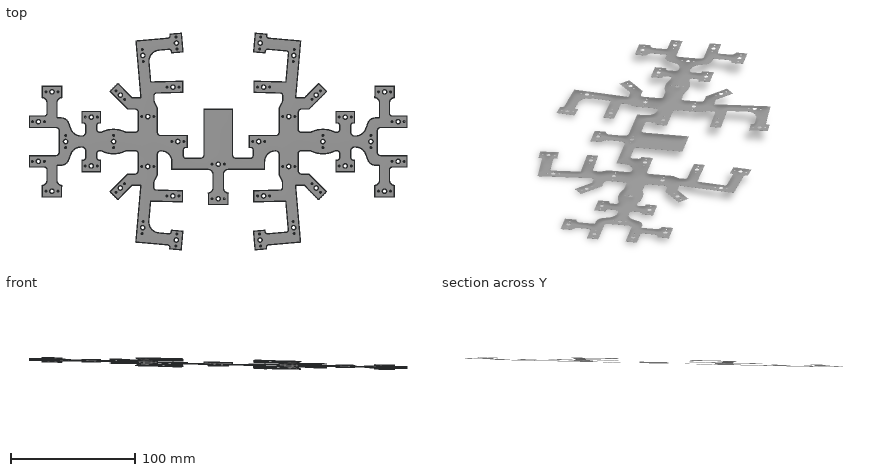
import cadquery as cq
import math

thickness = 0.12
pitch_angle = 2.2
roll_angle = 1.25
half_length = 152.0

screw_diameter = 3.3
pin_diameter = 1.2
pin_spacing = 5.0

limb_width = 9.5
foot_length = 15.2
foot_width = 9.5
body_half_width = 7.5
trunk_inner_x = 49.0
trunk_outer_x = 64.5
trunk_shoulder_y = 27.0
bulge_x = 84.3
bulge_radius = 21.3
bulge_apex_y = 12.2
bulge_half_chord = 9.7
trunk_hole_x = (trunk_inner_x + trunk_outer_x) / 2
trunk_hole_y = 20.0

fork_root_x = 128.0
fork_half_gap = 11.3
fork_outer_y = fork_half_gap + limb_width
fork_neck_x = 134.0
fork_neck_width = 8.2
fork_foot_length = 15.8
fork_foot_y = 44.7
fork_foot_inner_y = fork_foot_y - foot_width
fork_hole_inset = 7.3
fork_middle_hole_x = 123.0

waist_top_x = 122.0
waist_top_y = 19.2
waist_top_radius = 6.7
waist_bottom_x = 116.5
waist_half_width = 4.5
waist_bottom_radius = 8.5

side_foot_x = 102.2
side_foot_y = 24.3
side_foot_inner_y = side_foot_y - foot_width
side_neck_width = 9.0

diagonal_low_y = 26.2
diagonal_high_y = 35.3
diagonal_length = 20.0
diagonal_low_x = 73.0
diagonal_step = diagonal_length * math.sqrt(0.5)
diagonal_width = 9.0
diagonal_width_step = diagonal_width * math.sqrt(0.5)
diagonal_high_x = 69.5
diagonal_hole_x = 78.8
diagonal_hole_y = 37.5

hand_end_x = 28.5
hand_low_y = 39.0
hand_high_y = 48.0
hand_rise = 0.5
hand_root_x = 54.8
hand_hole_x = 36.5
hand_hole_y = 43.8
shoulder_x = 51.7
shoulder_y = 32.3

leg_lean = 5.0
hip_x = 62.5
hip_y = diagonal_high_y
leg_width = 9.0
leg_height = 46.0
leg_foot_reach = 37.0
leg_foot_overhang = 3.0
leg_hole_height = 33.8
sharp_knee_radius = 1.5
wide_knee_radius = 8.8

link_arm_end_x = 25.0
link_arm_half_width = 5.0
link_neck_x = 28.0
link_outer_x = 37.5
link_high_y = -13.5
link_low_y = -22.5
link_root_overlap = 3.0
link_root_half_height = 13.7
link_arm_hole_x = 32.5
link_bar_hole_y = -18.3
link_bend_radius = 8.5
tab_half_width = 11.5
tab_top_y = 26.2
stem_half_width = 4.3
stem_foot_half_length = 8.0
stem_foot_y = -50.8
stem_foot_inner_y = stem_foot_y + foot_width

small_radius = 1.8
medium_radius = 2.7
neck_radius = 4.0


def rounded_plate(corners):
    """Flat plate from (x, y) or (x, y, radius) corners; a radius rounds that corner."""
    points = []
    for i, corner in enumerate(corners):
        x, y = corner[:2]
        radius = corner[2] if len(corner) == 3 else 0
        if radius == 0:
            points.append([(x, y)])
            continue
        before = cq.Vector(*corners[i - 1][:2])
        after = cq.Vector(*corners[(i + 1) % len(corners)][:2])
        here = cq.Vector(x, y)
        to_before = (before - here).normalized()
        to_after = (after - here).normalized()
        half_angle = to_before.getAngle(to_after) / 2
        setback = radius / math.tan(half_angle)
        bisector = (to_before + to_after).normalized()
        middle = here + bisector * (radius / math.sin(half_angle) - radius)
        start = here + to_before * setback
        end = here + to_after * setback
        points.append([(p.x, p.y) for p in (start, middle, end)])
    outline = cq.Workplane("XY").moveTo(*points[0][-1])
    for stretch in points[1:] + points[:1]:
        outline = outline.lineTo(*stretch[0])
        if len(stretch) == 3:
            outline = outline.threePointArc(*stretch[1:])
    return outline.wire().extrude(thickness)


def screw_holes(x, y, direction):
    """Cutter for one hole group whose row points along direction (degrees)."""
    row = cq.Workplane("XY").circle(screw_diameter / 2)
    row = row.pushPoints([(-pin_spacing, 0), (pin_spacing, 0)]).circle(pin_diameter / 2)
    return row.extrude(thickness).rotate((0, 0, 0), (0, 0, 1), direction).translate((x, y, 0))


def leg(knee_radius):
    """Bent leg with a foot, shaped upright from the hip and then leaned outwards."""
    arm_low = leg_height - leg_width
    foot_start = -leg_foot_reach + foot_width
    foot_top = leg_height + leg_foot_overhang
    foot_bottom = foot_top - foot_length
    upright = rounded_plate([
        (0, 0),
        (0, leg_height),
        (foot_start, leg_height, small_radius),
        (foot_start, foot_top),
        (-leg_foot_reach, foot_top),
        (-leg_foot_reach, foot_bottom),
        (foot_start, foot_bottom),
        (foot_start, arm_low, small_radius),
        (-leg_width, arm_low, knee_radius),
        (-leg_width, 0),
    ])
    upright = upright.cut(screw_holes(-leg_width / 2, leg_hole_height, 90))
    upright = upright.cut(screw_holes(foot_start - foot_width / 2, (foot_top + foot_bottom) / 2, 90))
    return upright.rotate((0, 0, 0), (0, 0, 1), -leg_lean).translate((hip_x, hip_y, 0))


def quarter(knee_radius):
    """Everything outside the link in the +X +Y quarter."""
    fork_neck_out = fork_neck_x + fork_neck_width / 2
    fork_neck_in = fork_neck_x - fork_neck_width / 2
    fork_foot_out = fork_neck_x + fork_foot_length / 2
    fork_foot_in = fork_neck_x - fork_foot_length / 2
    side_neck_out = side_foot_x + side_neck_width / 2
    side_neck_in = side_foot_x - side_neck_width / 2
    side_foot_out = side_foot_x + foot_length / 2
    side_foot_in = side_foot_x - foot_length / 2
    tip_x = diagonal_low_x + diagonal_step
    tip_y = diagonal_low_y + diagonal_step
    plate = rounded_plate([
        (trunk_inner_x, 0),
        (fork_root_x, 0),
        (fork_root_x, fork_half_gap, medium_radius),
        (half_length, fork_half_gap),
        (half_length, fork_outer_y),
        (fork_neck_out, fork_outer_y, small_radius),
        (fork_neck_out, fork_foot_inner_y, neck_radius),
        (fork_foot_out, fork_foot_inner_y),
        (fork_foot_out, fork_foot_y),
        (fork_foot_in, fork_foot_y),
        (fork_foot_in, fork_foot_inner_y),
        (fork_neck_in, fork_foot_inner_y, neck_radius),
        (fork_neck_in, waist_top_y),
        (waist_top_x, waist_top_y, waist_top_radius),
        (waist_bottom_x, waist_half_width, waist_bottom_radius),
        (side_neck_out, waist_half_width, medium_radius),
        (side_neck_out, side_foot_inner_y, small_radius),
        (side_foot_out, side_foot_inner_y),
        (side_foot_out, side_foot_y),
        (side_foot_in, side_foot_y),
        (side_foot_in, side_foot_inner_y),
        (side_neck_in, side_foot_inner_y, small_radius),
        (side_neck_in, body_half_width, small_radius),
        (bulge_x + bulge_half_chord, body_half_width, small_radius),
        (bulge_x, bulge_apex_y, bulge_radius),
        (bulge_x - bulge_half_chord, body_half_width),
        (trunk_outer_x, body_half_width, small_radius),
        (trunk_outer_x, diagonal_low_y, medium_radius),
        (diagonal_low_x, diagonal_low_y),
        (tip_x, tip_y),
        (tip_x - diagonal_width_step, tip_y + diagonal_width_step),
        (diagonal_high_x, diagonal_high_y),
        (hip_x, hip_y),
        (hand_root_x, hand_high_y),
        (hand_end_x, hand_high_y + hand_rise),
        (hand_end_x, hand_low_y + hand_rise),
        (shoulder_x, hand_low_y, small_radius),
        (shoulder_x, shoulder_y, neck_radius),
        (trunk_inner_x, trunk_shoulder_y, neck_radius),
    ])
    for place in [
        (half_length - fork_hole_inset, fork_half_gap + limb_width / 2, 0),
        (fork_neck_x, fork_foot_y - foot_width / 2, 0),
        (side_foot_x, side_foot_y - foot_width / 2, 0),
        (diagonal_hole_x, diagonal_hole_y, 45),
        (trunk_hole_x, trunk_hole_y, 0),
        (hand_hole_x, hand_hole_y, 0),
    ]:
        plate = plate.cut(screw_holes(*place))
    return plate.union(leg(knee_radius))


def half(knee_radius):
    """Both quarters on the +X side, with the holes that lie on the X axis."""
    upper = quarter(knee_radius)
    plate = upper.union(upper.mirror("XZ"))
    for x in (fork_middle_hole_x, bulge_x):
        plate = plate.cut(screw_holes(x, 0, 90))
    return plate


def link_side():
    """The +X side of the link: arm, neck, bar, tab and stem."""
    inside_trunk_x = trunk_inner_x + link_root_overlap
    plate = rounded_plate([
        (inside_trunk_x, link_root_half_height),
        (trunk_inner_x, link_root_half_height),
        (trunk_inner_x, link_arm_half_width, medium_radius),
        (link_arm_end_x, link_arm_half_width),
        (link_arm_end_x, -link_arm_half_width),
        (link_neck_x, -link_arm_half_width, small_radius),
        (link_neck_x, link_high_y, small_radius),
        (tab_half_width, link_high_y, medium_radius),
        (tab_half_width, tab_top_y),
        (0, tab_top_y),
        (0, stem_foot_y),
        (stem_foot_half_length, stem_foot_y),
        (stem_foot_half_length, stem_foot_inner_y),
        (stem_half_width, stem_foot_inner_y, neck_radius),
        (stem_half_width, link_low_y, neck_radius),
        (link_outer_x, link_low_y),
        (link_outer_x, -body_half_width, link_bend_radius),
        (trunk_inner_x, -body_half_width, medium_radius),
        (trunk_inner_x, -link_root_half_height),
        (inside_trunk_x, -link_root_half_height),
    ])
    return plate.cut(screw_holes(link_arm_hole_x, 0, 0))


right_link = link_side()
link = right_link.union(right_link.mirror("YZ"))
for y in (link_bar_hole_y, stem_foot_y + foot_width / 2):
    link = link.cut(screw_holes(0, y, 0))

plate = half(sharp_knee_radius).union(half(wide_knee_radius).mirror("YZ")).union(link)
tilted = plate.rotate((0, 0, 0), (1, 0, 0), pitch_angle)
result = tilted.rotate((0, 0, 0), (0, 1, 0), roll_angle)